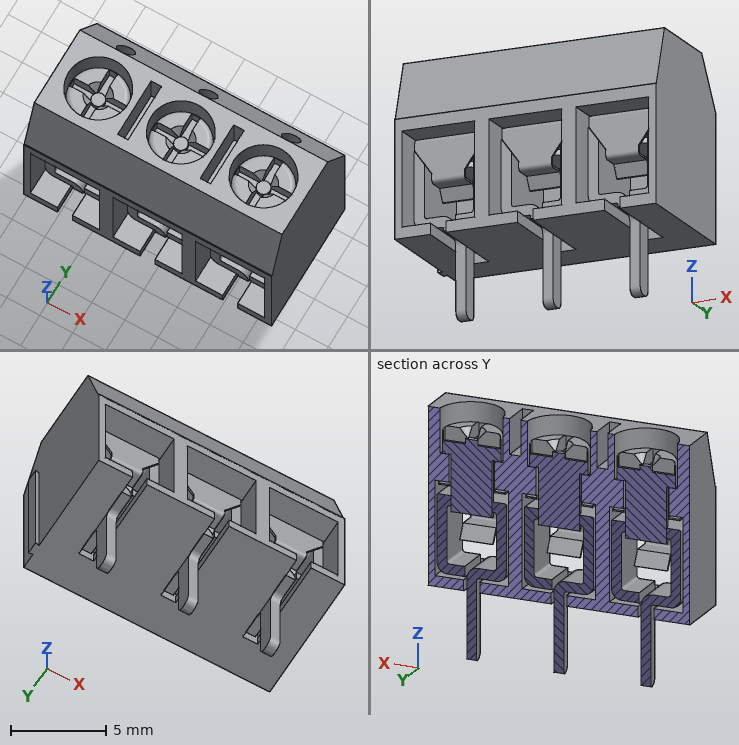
import cadquery as cq
import math


pitch = 5.0
pole_count = 3
pole_xs = [(i - (pole_count - 1) / 2) * pitch for i in range(pole_count)]

overall_length = 15.25
rib_height = 0.25
housing_length = overall_length - rib_height
housing_height = 10.0
front_y = -3.49
housing_depth = 7.69
back_y = front_y + housing_depth
front_bevel_depth = 1.05
front_bevel_z = 6.62
front_ledge = 0.06
back_bevel_depth = 1.8
back_bevel_z = 7.21

rib_back_offset = 0.88
rib_outer_width = 0.75
rib_root_width = 0.63

pocket_width = 4.18
pocket_floor_z = 0.63
pocket_ceiling_z = 5.92
pocket_back_y = 1.98
floor_slot_width = 0.9

bore_diameter = 3.6
shank_hole_diameter = 2.6
head_diameter = 3.4
head_top_z = 9.01
head_height = 1.51
head_edge_radius = 0.3
shank_diameter = 2.4
shank_end_z = 4.3
seat_z = head_top_z - head_height
drive_slot_length = 3.2
drive_slot_width = 0.5
drive_slot_depth = 0.8
drive_cone_depth = 0.5
drive_cone_top_diameter = 1.59
drive_cone_bottom_diameter = 0.78

roof_slot_width = 0.63
roof_slot_length = 3.5
roof_slot_depth = 2.0

test_hole_diameter = 1.0
test_hole_y = back_y - back_bevel_depth + test_hole_diameter / 2
test_hole_floor_z = back_bevel_z
test_hole_ramp_angle = math.radians(50)

strip_thickness = 0.6
strip_width = 4.0
strip_bottom_z = 0.8
strip_top_z = 5.22
strip_front_y = -2.12
strip_bottom_radius = 0.6
strip_top_radius = 0.1
strip_inner_radius = 0.15
strip_free_end_x = 0.38
elbow_outer_radius = 0.7
elbow_inner_radius = elbow_outer_radius - strip_thickness
elbow_x = strip_thickness / 2 - elbow_outer_radius
elbow_z = strip_bottom_z - elbow_inner_radius
pin_width = 1.0
pin_center_y = -0.08
pin_end_z = -3.78
pin_tip_radius = 0.4
neck_z = 0.58
neck_radius = 0.43
strip_depth = 2 * (pin_center_y - strip_front_y)

guard_thickness = 0.1
guard_front_y = strip_front_y - guard_thickness
guard_flange_back_y = strip_front_y + strip_depth
guard_width = 3.83
guard_tongue_width = 1.89
guard_top_z = 5.83
guard_top_bend_radius = 0.27
guard_taper_top_z = 5.12
guard_taper_bottom_z = 3.78
guard_tongue_z = 3.28
guard_tongue_bend_radius = 0.21
guard_lip_front_y = -shank_diameter / 2
guard_lip_end_z = 2.6
guard_lip_angle = math.radians(29)


def box(x_size, y_min, y_max, z_min, z_max, x_center=0):
    """Block centred on x_center, between the given Y and Z limits."""
    block = cq.Workplane("XY").box(x_size, y_max - y_min, z_max - z_min, centered=(True, False, False))
    return block.translate((x_center, y_min, z_min))


def cylinder(diameter, z_min, z_max, x=0, y=0):
    """Upright cylinder between two heights."""
    return cq.Workplane("XY", origin=(x, y, z_min)).circle(diameter / 2).extrude(z_max - z_min)


def extrude_along_x(profile, length):
    """Extrude a YZ profile symmetrically about X = 0."""
    return profile.extrude(length / 2, both=True)


def make_housing_block():
    profile = (
        cq.Workplane("YZ")
        .moveTo(front_y, 0)
        .lineTo(back_y, 0)
        .lineTo(back_y, back_bevel_z)
        .lineTo(back_y - back_bevel_depth, housing_height)
        .lineTo(front_y + front_ledge + front_bevel_depth, housing_height)
        .lineTo(front_y + front_ledge, front_bevel_z)
        .lineTo(front_y, front_bevel_z)
        .close()
    )
    return extrude_along_x(profile, housing_length)


def make_rib():
    root_x = -housing_length / 2
    outer_x = root_x - rib_height
    center_y = back_y - rib_back_offset - rib_outer_width / 2
    return (
        cq.Workplane("XY")
        .moveTo(root_x, center_y - rib_root_width / 2)
        .lineTo(root_x, center_y + rib_root_width / 2)
        .lineTo(outer_x, center_y + rib_outer_width / 2)
        .lineTo(outer_x, center_y - rib_outer_width / 2)
        .close()
        .extrude(back_bevel_z)
    )


def make_pole_cavity(x):
    """Wire pocket, floor slot and stepped screw bore of one pole."""
    pocket = box(pocket_width, front_y, pocket_back_y, pocket_floor_z, pocket_ceiling_z, x)
    floor_slot = box(floor_slot_width, front_y, pocket_back_y, 0, pocket_floor_z, x)
    bore = cylinder(bore_diameter, seat_z, housing_height, x)
    shank_hole = cylinder(shank_hole_diameter, pocket_ceiling_z, seat_z, x)
    return pocket.union(floor_slot).union(bore).union(shank_hole)


def make_test_hole(x):
    """Blind hole: level floor in the back half, sloping floor rising to the front."""
    radius = test_hole_diameter / 2
    ramp_rise = radius * math.tan(test_hole_ramp_angle)
    hole = cylinder(test_hole_diameter, test_hole_floor_z, housing_height, x, test_hole_y)
    ramp_profile = (
        cq.Workplane("YZ")
        .moveTo(test_hole_y, test_hole_floor_z)
        .lineTo(test_hole_y - radius, test_hole_floor_z)
        .lineTo(test_hole_y - radius, test_hole_floor_z + ramp_rise)
        .close()
    )
    ramp = extrude_along_x(ramp_profile, test_hole_diameter)
    return hole.cut(ramp.translate((x, 0, 0)))


def make_roof_slot(x):
    half = roof_slot_length / 2
    return box(roof_slot_width, -half, half, housing_height - roof_slot_depth, housing_height, x)


def make_housing():
    housing = make_housing_block().union(make_rib())
    for x in pole_xs:
        housing = housing.cut(make_pole_cavity(x)).cut(make_test_hole(x))
    for x in pole_xs[:-1]:
        housing = housing.cut(make_roof_slot(x + pitch / 2))
    return housing


def make_screw():
    """Screw with a conical recess and a deeper cross slot that leaves a round post in the middle."""
    head = cylinder(head_diameter, seat_z, head_top_z).faces(">Z").edges().fillet(head_edge_radius)
    shank = cylinder(shank_diameter, shank_end_z, seat_z)
    slot_floor_z = head_top_z - drive_slot_depth
    slot = (
        cq.Workplane("XY", origin=(0, 0, slot_floor_z))
        .rect(drive_slot_length, drive_slot_width)
        .extrude(drive_slot_depth)
    )
    cross_slot = slot.rotate((0, 0, 0), (0, 0, 1), 90)
    cone = (
        cq.Workplane("XY", origin=(0, 0, head_top_z - drive_cone_depth))
        .circle(drive_cone_bottom_diameter / 2)
        .workplane(offset=drive_cone_depth)
        .circle(drive_cone_top_diameter / 2)
        .loft()
    )
    post = cylinder(drive_cone_bottom_diameter, slot_floor_z, head_top_z - drive_cone_depth)
    return head.union(shank).cut(slot).cut(cross_slot).cut(cone).union(post)


def make_ring():
    """Rounded rectangular ring around the wire space, threaded onto the screw shank."""
    ring_height = strip_top_z - strip_bottom_z
    start = cq.Workplane("XZ", origin=(0, strip_front_y, (strip_top_z + strip_bottom_z) / 2))
    outer = start.rect(strip_width, ring_height).extrude(-strip_depth)
    outer = outer.faces("<Z").edges("|Y").fillet(strip_bottom_radius)
    outer = outer.faces(">Z").edges("|Y").fillet(strip_top_radius)
    inner = start.rect(strip_width - 2 * strip_thickness, ring_height - 2 * strip_thickness)
    inner = inner.extrude(-strip_depth).edges("|Y").fillet(strip_inner_radius)
    screw_hole = cylinder(shank_diameter, strip_top_z - strip_thickness, strip_top_z)
    return outer.cut(inner).cut(screw_hole)


def make_ring_opening():
    """Gap in the bottom of the ring, from the start of the elbow to the free end."""
    opening_width = strip_free_end_x - elbow_x
    back = strip_front_y + strip_depth
    top = strip_bottom_z + strip_thickness
    return box(opening_width, strip_front_y, back, strip_bottom_z, top, elbow_x + opening_width / 2)


def make_elbow():
    """Quarter bend from the ring's bottom into the pin, at the full depth of the strip."""
    pin_half = strip_thickness / 2
    inner_reach = elbow_inner_radius * math.sqrt(0.5)
    outer_reach = elbow_outer_radius * math.sqrt(0.5)
    return (
        cq.Workplane("XZ", origin=(0, strip_front_y, 0))
        .moveTo(elbow_x, strip_bottom_z)
        .threePointArc((elbow_x + inner_reach, elbow_z + inner_reach), (-pin_half, elbow_z))
        .lineTo(-pin_half, pin_end_z)
        .lineTo(pin_half, pin_end_z)
        .lineTo(pin_half, elbow_z)
        .threePointArc((elbow_x + outer_reach, elbow_z + outer_reach), (elbow_x, elbow_z + elbow_outer_radius))
        .close()
        .extrude(-strip_depth)
    )


def make_pin_outline():
    """Pin seen along X: full depth above the neck, flared neck, rounded tip."""
    neck = box(strip_width, strip_front_y, strip_front_y + strip_depth, neck_z, strip_top_z)
    pin_front = pin_center_y - pin_width / 2
    pin = box(strip_width, pin_front, pin_front + pin_width, pin_end_z, neck_z)
    pin = pin.faces("<Z").edges("|X").fillet(pin_tip_radius)
    outline = neck.union(pin)
    margin = pin_tip_radius / 2
    neck_corners = cq.selectors.BoxSelector(
        (-margin, pin_front - margin, neck_z - margin),
        (margin, pin_front + pin_width + margin, neck_z + margin),
    )
    return outline.edges("|X").edges(neck_corners).fillet(neck_radius)


def make_terminal():
    tail = make_elbow().intersect(make_pin_outline())
    return make_ring().cut(make_ring_opening()).union(tail)


def make_guard_sheet():
    """Sheet bent back into a flange at the top, and into a tongue with a sloping lip at the bottom."""
    upright_back_y = guard_front_y + guard_thickness
    diagonal = math.sqrt(0.5)

    flange_center = (guard_front_y + guard_top_bend_radius, guard_top_z - guard_top_bend_radius)
    tongue_center = (guard_front_y + guard_tongue_bend_radius, guard_tongue_z + guard_tongue_bend_radius)
    flange_inner_radius = guard_top_bend_radius - guard_thickness
    tongue_inner_radius = guard_tongue_bend_radius - guard_thickness

    def flange_bend_middle(radius):
        return (flange_center[0] - radius * diagonal, flange_center[1] + radius * diagonal)

    def tongue_bend_middle(radius):
        return (tongue_center[0] - radius * diagonal, tongue_center[1] - radius * diagonal)

    lip_end_y = guard_lip_front_y + (guard_tongue_z - guard_lip_end_z) * math.tan(guard_lip_angle)
    lip_thickness_y = guard_thickness / math.cos(guard_lip_angle)
    lip_back_y = guard_lip_front_y + lip_thickness_y - guard_thickness * math.tan(guard_lip_angle)

    profile = (
        cq.Workplane("YZ")
        .moveTo(guard_front_y, tongue_center[1])
        .lineTo(guard_front_y, flange_center[1])
        .threePointArc(flange_bend_middle(guard_top_bend_radius), (flange_center[0], guard_top_z))
        .lineTo(guard_flange_back_y, guard_top_z)
        .lineTo(guard_flange_back_y, guard_top_z - guard_thickness)
        .lineTo(flange_center[0], guard_top_z - guard_thickness)
        .threePointArc(flange_bend_middle(flange_inner_radius), (upright_back_y, flange_center[1]))
        .lineTo(upright_back_y, tongue_center[1])
        .threePointArc(
            tongue_bend_middle(tongue_inner_radius),
            (tongue_center[0], guard_tongue_z + guard_thickness),
        )
        .lineTo(lip_back_y, guard_tongue_z + guard_thickness)
        .lineTo(lip_end_y + lip_thickness_y, guard_lip_end_z)
        .lineTo(lip_end_y, guard_lip_end_z)
        .lineTo(guard_lip_front_y, guard_tongue_z)
        .lineTo(tongue_center[0], guard_tongue_z)
        .threePointArc(tongue_bend_middle(guard_tongue_bend_radius), (guard_front_y, tongue_center[1]))
        .close()
    )
    return extrude_along_x(profile, guard_width)


def make_guard_outline():
    """Guard seen along Y: full width at the top, tapering to the tongue."""
    half_width = guard_width / 2
    half_tongue = guard_tongue_width / 2
    return (
        cq.Workplane("XZ", origin=(0, guard_front_y, 0))
        .moveTo(-half_width, guard_top_z)
        .lineTo(-half_width, guard_taper_top_z)
        .lineTo(-half_tongue, guard_taper_bottom_z)
        .lineTo(-half_tongue, guard_lip_end_z)
        .lineTo(half_tongue, guard_lip_end_z)
        .lineTo(half_tongue, guard_taper_bottom_z)
        .lineTo(half_width, guard_taper_top_z)
        .lineTo(half_width, guard_top_z)
        .close()
        .extrude(guard_front_y - guard_flange_back_y)
    )


def make_guard():
    """Trimmed sheet with a clearance hole for the screw shank in its flange."""
    screw_hole = cylinder(shank_hole_diameter, guard_top_z - guard_thickness, guard_top_z)
    return make_guard_sheet().intersect(make_guard_outline()).cut(screw_hole)


housing = make_housing()
screw = make_screw()
terminal = make_terminal()
guard = make_guard()

bodies = [housing.solids().val()]
for pole_x in pole_xs:
    for part in (screw, terminal, guard):
        bodies.append(part.solids().val().translate(cq.Vector(pole_x, 0, 0)))

result = cq.Compound.makeCompound(bodies)